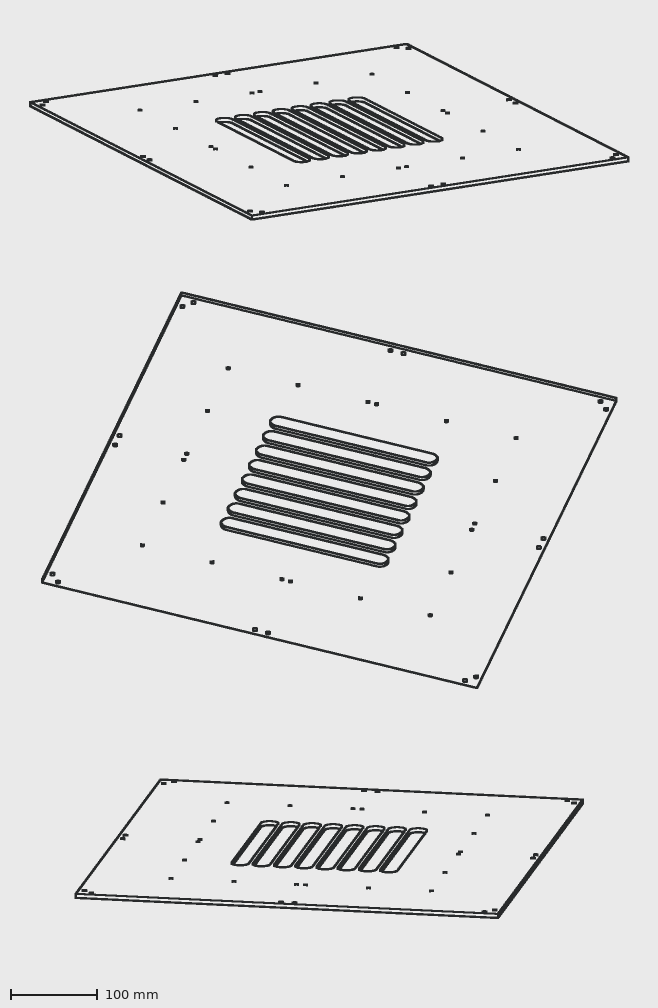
import cadquery as cq

length = 530.0
width = 495.0
thickness = 5.0

slot_count = 8
slot_length = 203.5
slot_width = 20.0
slot_pitch = 25.0

edge_hole_diameter = 4.5
edge_inset = 7.0
corner_offset = 17.0
edge_pair_half_spacing = 8.0

inner_hole_diameter = 3.5
inner_half_length = 175.5
inner_half_width = 152.5
inner_pair_half_spacing = 5.5


def mirrored(points):
    """Repeat first-quadrant points in all four quadrants."""
    return [(sx * x, sy * y) for x, y in points for sx in (-1, 1) for sy in (-1, 1)]


def edge_hole_points():
    half_length = length / 2
    half_width = width / 2
    return mirrored([
        (half_length - corner_offset, half_width - edge_inset),
        (half_length - edge_inset, half_width - corner_offset),
        (edge_pair_half_spacing, half_width - edge_inset),
        (half_length - edge_inset, edge_pair_half_spacing),
    ])


def inner_hole_points():
    middle_x = (inner_half_length + inner_pair_half_spacing) / 2
    middle_y = (inner_half_width + inner_pair_half_spacing) / 2
    along_x = [(x, inner_half_width) for x in (inner_pair_half_spacing, middle_x, inner_half_length)]
    along_y = [(inner_half_length, y) for y in (inner_pair_half_spacing, middle_y)]
    return mirrored(along_x + along_y)


plate = cq.Workplane("XY").box(length, width, thickness)
slotted = (
    plate.faces(">Z").workplane()
    .rarray(slot_length, slot_pitch, 1, slot_count)
    .slot2D(slot_length, slot_width)
    .cutThruAll()
)
edge_drilled = (
    slotted.faces(">Z").workplane(origin=(0, 0, 0))
    .pushPoints(edge_hole_points())
    .hole(edge_hole_diameter)
)
result = (
    edge_drilled.faces(">Z").workplane(origin=(0, 0, 0))
    .pushPoints(inner_hole_points())
    .hole(inner_hole_diameter)
)